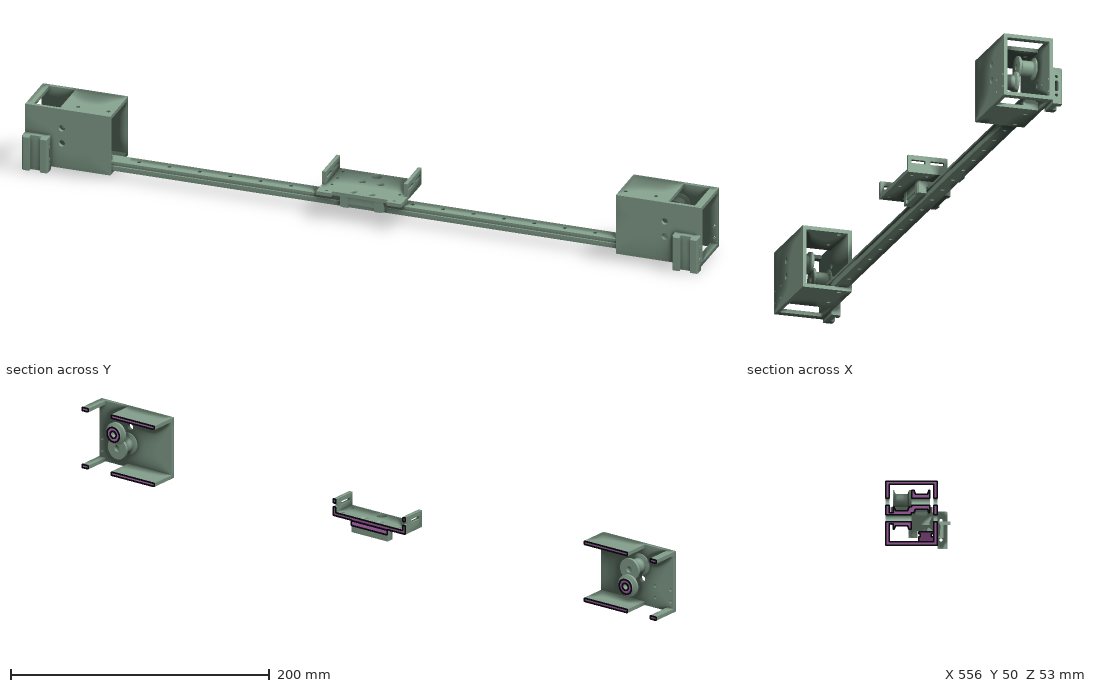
import cadquery as cq


overall_length = 556.0
overall_height = 53.0
sheet = 3.0
screw_hole = 3.2
tapped_hole = 2.45
countersunk_hole = 2.3

housing_length = 70.0
housing_width = 40.0
housing_height = 50.0
housing_center_y = 11.0
housing_bottom = -sheet
housing_center_z = housing_bottom + housing_height / 2
housing_top = housing_bottom + housing_height
window_margin = 6.0
window_end = 28.0
shaft_hole = 5.3
shaft_inset = 30.0
upper_shaft_depth = 16.0
lower_shaft_depth = 29.0
upper_shaft_z = housing_top - upper_shaft_depth
lower_shaft_z = housing_top - lower_shaft_depth

flange_diameter = 18.0
drum_diameter = 12.0
spacer_diameter = 9.0
pulley_width = 14.5
inner_flange_thickness = 1.95
outer_flange_thickness = 1.0
flange_taper = 1.0

bracket_length = 21.0
bracket_depth = 8.0
bracket_bottom = housing_top - overall_height
bracket_top = 23.5
bracket_slot_width = 9.0
bracket_slot_depth = 3.5
bracket_chamfer = 1.0
bracket_hole_pitch = 15.0
bracket_hole_y = -11.5
bracket_middle_slot_length = 9.0
bracket_middle_slot_width = 3.0
wall_hole_insets = (3.0, 18.0)
wall_hole_heights = (5.3, 15.0)

rail_length = 500.5
rail_width = 11.5
rail_height = 8.0
rail_pitch = 25.0
rail_hole_count = 20
groove_bottom = 4.0
groove_top = 6.0
groove_depth = 1.4

block_length = 35.0
block_width = 27.0
block_bottom = sheet
block_top = 13.0
seal_thickness = 1.5
cap_thickness = 5.0
seal_inset = 0.5
body_inset = 0.5
body_step_inset = 1.4
body_step_z = 6.0
rail_clearance = 0.5
grease_hole_z = 10.5

plate_length = 70.0
plate_back_y = 27.0
plate_front_y = -15.0
foot_front_y = -19.0
foot_length = 12.0
tab_front_y = -5.0
plate_top = block_top + sheet
tab_top = 26.5
block_screw_pitch_x = 15.0
block_screw_pitch_y = 20.0
countersink = 6.0
large_countersink = 9.0
large_countersink_y = 22.0
countersink_angle = 90
edge_hole_x = 28.0
edge_hole_back_y = 21.5
edge_hole_pitch = 12.0
edge_hole_count = 4
belt_slot_width = 11.0
belt_slot_height = 3.0
belt_slot_z = 21.5


def box_between(x_range, y_range, z_range):
    """Box spanning the given ranges, each given in either order."""
    ranges = (x_range, y_range, z_range)
    sizes = [abs(b - a) for a, b in ranges]
    middle = tuple((a + b) / 2 for a, b in ranges)
    return cq.Workplane("XY").box(*sizes).translate(middle)


def y_cylinder(x, z, diameter, y_start, y_end):
    """Cylinder along Y between two Y positions."""
    base = cq.Workplane("XZ", origin=(x, y_start, z))
    return base.circle(diameter / 2).extrude(y_start - y_end)


def pulley(x, z, direction):
    """Flared-flange pulley reaching from the middle of the housing towards +Y or -Y."""
    flange_radius = flange_diameter / 2
    drum_radius = drum_diameter / 2
    outer_flange = pulley_width - outer_flange_thickness
    profile = [
        (0, 0),
        (flange_radius, 0),
        (flange_radius, inner_flange_thickness),
        (drum_radius, inner_flange_thickness + flange_taper),
        (drum_radius, outer_flange - flange_taper),
        (flange_radius, outer_flange),
        (flange_radius, pulley_width),
        (0, pulley_width),
    ]
    points = [(radius, direction * offset) for radius, offset in profile]
    outline = cq.Workplane("XY", origin=(x, housing_center_y, z)).polyline(points).close()
    return outline.revolve(360, (0, 0, 0), (0, 1, 0))


def pulley_set(x, lower_direction):
    """Lower pulley, its spacer to the side wall, and the upper pulley against its other face."""
    outer_face = housing_center_y + lower_direction * pulley_width
    wall_face = housing_center_y + lower_direction * (housing_width / 2 - sheet)
    lower = pulley(x, lower_shaft_z, lower_direction)
    upper = pulley(x, upper_shaft_z, -lower_direction)
    spacer = y_cylinder(x, lower_shaft_z, spacer_diameter, outer_face, wall_face)
    return lower.union(upper).union(spacer)


def bracket(side):
    """Upright bar with a vertical slot, flush with the outer end of the housing."""
    outer_x = side * overall_length / 2
    inner_x = outer_x - side * bracket_length
    middle_x = (outer_x + inner_x) / 2
    back_y = housing_center_y - housing_width / 2
    front_y = back_y - bracket_depth
    heights = (bracket_bottom, bracket_top)
    bar = box_between((outer_x, inner_x), (back_y, front_y), heights)
    bar = bar.faces("<Y").edges(">Z or |Z").chamfer(bracket_chamfer)
    slot_x = (middle_x - bracket_slot_width / 2, middle_x + bracket_slot_width / 2)
    slot = box_between(slot_x, (front_y, front_y + bracket_slot_depth), heights)
    bar = bar.cut(slot)

    middle_z = (bracket_bottom + bracket_top) / 2
    start_x = min(outer_x, inner_x)
    section = cq.Workplane("YZ", origin=(start_x, bracket_hole_y, middle_z))
    holes = section.rarray(5.5, bracket_hole_pitch, 1, 2).circle(tapped_hole / 2).extrude(bracket_length)
    middle_slot = section.slot2D(bracket_middle_slot_length, bracket_middle_slot_width, 90)
    return bar.cut(holes).cut(middle_slot.extrude(bracket_length))


def housing(side, lower_direction):
    """Housing at the -X (side = -1) or +X (side = 1) end of the rail."""
    outer_x = side * overall_length / 2
    tube_center = (outer_x - side * housing_length / 2, housing_center_y, housing_center_z)
    inner_width = housing_width - 2 * sheet
    inner_height = housing_height - 2 * sheet
    tube = cq.Workplane("XY").box(housing_length, housing_width, housing_height)
    tube = tube.cut(cq.Workplane("XY").box(housing_length, inner_width, inner_height))
    tube = tube.translate(tube_center)

    window = box_between(
        (outer_x - side * window_margin, outer_x - side * window_end),
        (housing_center_y - inner_width / 2, housing_center_y + inner_width / 2),
        (housing_bottom, housing_top),
    )
    tube = tube.cut(window)

    last_hole = rail_pitch * (rail_hole_count - 1) / 2
    rail_screws = [(side * last_hole, 0), (side * (last_hole - rail_pitch), 0)]
    screws = cq.Workplane("XY", origin=(0, 0, housing_bottom)).pushPoints(rail_screws)
    tube = tube.cut(screws.circle(screw_hole / 2).extrude(housing_height))

    front_y = housing_center_y - housing_width / 2
    back_y = front_y + housing_width
    for inset in wall_hole_insets:
        for z in wall_hole_heights:
            tube = tube.cut(y_cylinder(outer_x - side * inset, z, tapped_hole, front_y, back_y))

    shaft_x = outer_x - side * shaft_inset
    body = tube.union(bracket(side)).union(pulley_set(shaft_x, lower_direction))

    for z in (upper_shaft_z, lower_shaft_z):
        body = body.cut(y_cylinder(shaft_x, z, shaft_hole, front_y, back_y))
    return body


def make_rail():
    half_length = rail_length / 2
    half_width = rail_width / 2
    ends = (-half_length, half_length)
    rail = box_between(ends, (-half_width, half_width), (0, rail_height))
    for side in (-1, 1):
        depth_range = (side * half_width, side * (half_width - groove_depth))
        rail = rail.cut(box_between(ends, depth_range, (groove_bottom, groove_top)))
    holes = cq.Workplane("XY").rarray(rail_pitch, 5.5, rail_hole_count, 1)
    return rail.cut(holes.circle(screw_hole / 2).extrude(rail_height))


def make_block():
    """Block straddling the rail: stepped middle, two end caps and their thin seals."""
    half_width = block_width / 2
    half_length = block_length / 2
    cap_end = half_length - seal_thickness
    body_end = cap_end - cap_thickness
    seal_half = half_width - seal_inset

    caps = box_between((-cap_end, cap_end), (-half_width, half_width), (block_bottom, block_top))
    seals = box_between((-half_length, half_length), (-seal_half, seal_half), (block_bottom, block_top))
    block = caps.union(seals)
    for side in (-1, 1):
        for inset, top in ((body_inset, block_top), (body_step_inset, body_step_z)):
            side_y = (side * (half_width - inset), side * half_width)
            block = block.cut(box_between((-body_end, body_end), side_y, (block_bottom, top)))

    channel_half = rail_width / 2 + rail_clearance
    channel_top = rail_height + rail_clearance
    channel = box_between(
        (-half_length, half_length), (-channel_half, channel_half), (block_bottom, channel_top)
    )
    block = block.cut(channel)

    screws = cq.Workplane("XY", origin=(0, 0, channel_top))
    screws = screws.rarray(block_screw_pitch_x, block_screw_pitch_y, 2, 2)
    block = block.cut(screws.circle(tapped_hole / 2).extrude(block_top - channel_top))

    grease_depth = seal_thickness + cap_thickness
    for start in (-half_length, half_length - grease_depth):
        grease = cq.Workplane("YZ", origin=(start, 0, grease_hole_z))
        block = block.cut(grease.circle(tapped_hole / 2).extrude(grease_depth))
    return block


def make_plate():
    """Flat plate with two front feet and an upright slotted tab at each end."""
    half_length = plate_length / 2
    thickness = (block_top, plate_top)
    plate = box_between((-half_length, half_length), (plate_front_y, plate_back_y), thickness)
    for side in (-1, 1):
        end_x = side * half_length
        foot_x = (end_x, end_x - side * foot_length)
        tab_x = (end_x, end_x - side * sheet)
        plate = plate.union(box_between(foot_x, (foot_front_y, plate_front_y), thickness))
        plate = plate.union(box_between(tab_x, (tab_front_y, plate_back_y), (block_top, tab_top)))

    drum_offset = (inner_flange_thickness + pulley_width - outer_flange_thickness) / 2
    for y in (housing_center_y - drum_offset, housing_center_y + drum_offset):
        slot = cq.Workplane("XY").box(plate_length, belt_slot_width, belt_slot_height)
        plate = plate.cut(slot.translate((0, y, belt_slot_z)))

    top = cq.Workplane("XY", origin=(0, 0, plate_top))
    screw_points = [
        (x_side * block_screw_pitch_x / 2, y_side * block_screw_pitch_y / 2)
        for x_side in (-1, 1)
        for y_side in (-1, 1)
    ]
    plate = plate.copyWorkplane(top).pushPoints(screw_points)
    plate = plate.cskHole(countersunk_hole, countersink, countersink_angle)
    plate = plate.copyWorkplane(top).pushPoints([(0, large_countersink_y)])
    plate = plate.cskHole(countersunk_hole, large_countersink, countersink_angle)

    edge_points = [
        (side * edge_hole_x, edge_hole_back_y - i * edge_hole_pitch)
        for side in (-1, 1)
        for i in range(edge_hole_count)
    ]
    return plate.copyWorkplane(top).pushPoints(edge_points).hole(tapped_hole)


housings = [housing(side, -side) for side in (-1, 1)]
rail = make_rail()
block = make_block()
plate = make_plate()

result = cq.Compound.makeCompound(
    [*(end.val() for end in housings), rail.val(), block.val(), plate.val()]
)